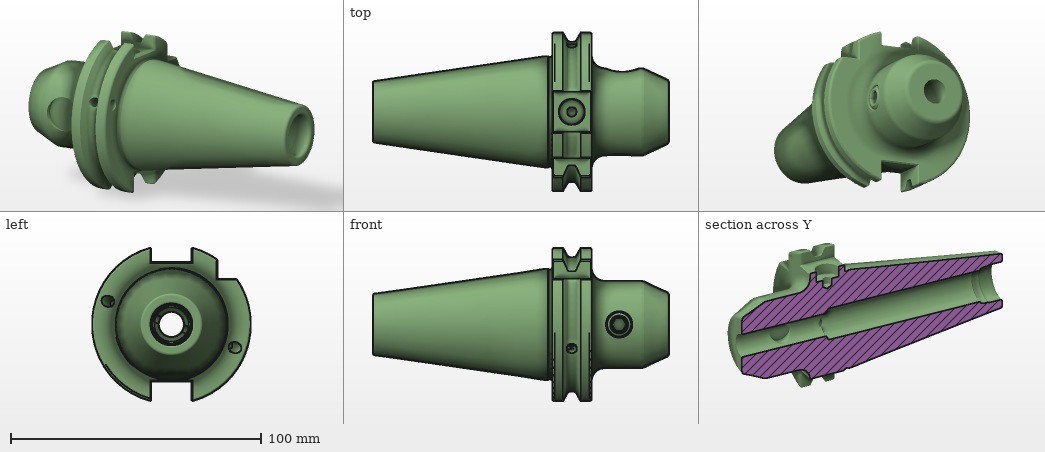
import cadquery as cq
import math


GAUGE_RADIUS = 44.45 / 2
TAPER_LENGTH = 68.4
TAPER_SLOPE = 7 / 48
TAPER_END_FILLET = 1.0
TAPER_TOP_X = 0.5

RELIEF_CONE_START_X = 1.55
RELIEF_CONE_END_X = 1.95
RELIEF_RADIUS = 22.0
RELIEF_FILLET = 0.6

FLANGE_FRONT_X = 3.2
FLANGE_BACK_X = 19.1
FLANGE_RADIUS = 63.55 / 2
FLANGE_FILLET = 1.0
FLANGE_EDGE_CHAMFER = 0.5

GROOVE_X = 11.1
GROOVE_MOUTH_HALF_WIDTH = 3.6
GROOVE_FLOOR_RADIUS = 28.1
GROOVE_HALF_ANGLE = 30
GROOVE_FILLET = 1.2

SLOT_WIDTH = 16.0
TOP_SLOT_FLOOR = 25.0
BOTTOM_SLOT_FLOOR = 22.8
NOTCH_Y = 18.5
NOTCH_Z = 18.3

CHIP_RADIUS = 5.0
CHIP_DEPTH = 4.6
CHIP_CHAMFER = 0.25
CHIP_VENT_RADIUS = 1.9
CHIP_VENT_DEPTH = 3.0

NOSE_X = 50.0
HUB_RADIUS = 17.5
HUB_FILLET = 5.0
NOSE_CONE_X = 39.4
NOSE_HALF_ANGLE = 25
NOSE_CONE_FILLET = 2.5
NOSE_END_FILLET = 2.0

BALANCE_X = 31.2
BALANCE_RADIUS = 7.0
BALANCE_DEPTH = 2.5

TOOL_BORE_RADIUS = 5.0
PILOT_RADIUS = 8.4
PILOT_FILLET = 1.0
PILOT_DEPTH = 6.0
PILOT_STEP_LENGTH = 0.6
NECK_RADIUS = 8.1
NECK_LENGTH = 1.4
NECK_CONE_LENGTH = 1.8
THREAD_MOUTH_RADIUS = 7.67
THREAD_MOUTH_LENGTH = 0.5
THREAD_RADIUS = 6.95
THREAD_END_X = 10.5
DRILL_HALF_ANGLE = 59

COOLANT_ANGLE = 20
COOLANT_ENTRY_RADIUS = 27.0
COOLANT_JOINT_RADIUS = 22.0
COOLANT_INLET_RADIUS = 2.2
COOLANT_CROSS_RADIUS = 1.5
COOLANT_MOUTH_RADIUS = 2.0

SCREW_X = 30.0
SCREW_RADIUS = 4.8
SCREW_LENGTH = 12.0
SCREW_TOP = 17.4
SCREW_CHAMFER = 1.2
SCREW_RIM_CHAMFER = 0.5
HEX_FLATS = 5.0
HEX_DEPTH = 5.0
HEX_MOUTH_CHAMFER = 0.3

TAPER_END_X = -TAPER_LENGTH
TAPER_END_RADIUS = GAUGE_RADIUS - TAPER_SLOPE * TAPER_LENGTH
GROOVE_FLOOR_HALF_WIDTH = (
    GROOVE_MOUTH_HALF_WIDTH
    - (FLANGE_RADIUS - GROOVE_FLOOR_RADIUS) * math.tan(math.radians(GROOVE_HALF_ANGLE))
)
NOSE_END_RADIUS = HUB_RADIUS - (NOSE_X - NOSE_CONE_X) * math.tan(math.radians(NOSE_HALF_ANGLE))
CLEARANCE = 5.0
TOLERANCE = 0.01


def taper_radius(x):
    return GAUGE_RADIUS + TAPER_SLOPE * x


def revolve_about_x(outline):
    return outline.revolve(360, (0, 0, 0), (1, 0, 0))


def outer_form():
    """Turned outside of the holder with sharp corners, then every corner rounded."""
    neck_radius = taper_radius(TAPER_TOP_X)
    outline = (
        cq.Workplane("XY")
        .moveTo(TAPER_END_X, 0)
        .lineTo(TAPER_END_X, TAPER_END_RADIUS)
        .lineTo(TAPER_TOP_X, neck_radius)
        .lineTo(RELIEF_CONE_START_X, neck_radius)
        .lineTo(RELIEF_CONE_END_X, RELIEF_RADIUS)
        .lineTo(FLANGE_FRONT_X, RELIEF_RADIUS)
        .lineTo(FLANGE_FRONT_X, FLANGE_RADIUS)
        .lineTo(GROOVE_X - GROOVE_MOUTH_HALF_WIDTH, FLANGE_RADIUS)
        .lineTo(GROOVE_X - GROOVE_FLOOR_HALF_WIDTH, GROOVE_FLOOR_RADIUS)
        .lineTo(GROOVE_X + GROOVE_FLOOR_HALF_WIDTH, GROOVE_FLOOR_RADIUS)
        .lineTo(GROOVE_X + GROOVE_MOUTH_HALF_WIDTH, FLANGE_RADIUS)
        .lineTo(FLANGE_BACK_X, FLANGE_RADIUS)
        .lineTo(FLANGE_BACK_X, HUB_RADIUS)
        .lineTo(NOSE_CONE_X, HUB_RADIUS)
        .lineTo(NOSE_X, NOSE_END_RADIUS)
        .lineTo(NOSE_X, 0)
        .close()
    )
    body = revolve_about_x(outline)
    rounded_corners = [
        (TAPER_END_X, TAPER_END_RADIUS, TAPER_END_FILLET),
        (FLANGE_FRONT_X, RELIEF_RADIUS, RELIEF_FILLET),
        (FLANGE_FRONT_X, FLANGE_RADIUS, FLANGE_FILLET),
        (GROOVE_X - GROOVE_FLOOR_HALF_WIDTH, GROOVE_FLOOR_RADIUS, GROOVE_FILLET),
        (GROOVE_X + GROOVE_FLOOR_HALF_WIDTH, GROOVE_FLOOR_RADIUS, GROOVE_FILLET),
        (FLANGE_BACK_X, FLANGE_RADIUS, FLANGE_FILLET),
        (FLANGE_BACK_X, HUB_RADIUS, HUB_FILLET),
        (NOSE_CONE_X, HUB_RADIUS, NOSE_CONE_FILLET),
        (NOSE_X, NOSE_END_RADIUS, NOSE_END_FILLET),
    ]
    for x, radius, fillet in rounded_corners:
        body = fillet_ring(body, x, radius, fillet)
    return body


def fillet_ring(body, x, radius, fillet):
    """Round the circular edge of a turned body that lies at the given X and radius."""
    rings = [
        edge for edge in body.edges("%CIRCLE").vals()
        if abs(edge.Center().x - x) < TOLERANCE and abs(edge.radius() - radius) < TOLERANCE
    ]
    return body.newObject(rings).fillet(fillet)


def bore():
    """Tool bore, drill point, thread core, neck and pilot, turned as one cutting shape."""
    pilot_end_x = TAPER_END_X + PILOT_DEPTH
    neck_start_x = pilot_end_x + PILOT_STEP_LENGTH
    neck_end_x = neck_start_x + NECK_LENGTH
    thread_mouth_x = neck_end_x + NECK_CONE_LENGTH
    thread_start_x = thread_mouth_x + THREAD_MOUTH_LENGTH
    drill_point_length = (THREAD_RADIUS - TOOL_BORE_RADIUS) / math.tan(math.radians(DRILL_HALF_ANGLE))
    outline = (
        cq.Workplane("XY")
        .moveTo(TAPER_END_X, 0)
        .lineTo(TAPER_END_X, PILOT_RADIUS + PILOT_FILLET)
        .radiusArc((TAPER_END_X + PILOT_FILLET, PILOT_RADIUS), -PILOT_FILLET)
        .lineTo(pilot_end_x, PILOT_RADIUS)
        .lineTo(neck_start_x, NECK_RADIUS)
        .lineTo(neck_end_x, NECK_RADIUS)
        .lineTo(thread_mouth_x, THREAD_MOUTH_RADIUS)
        .lineTo(thread_start_x, THREAD_RADIUS)
        .lineTo(THREAD_END_X, THREAD_RADIUS)
        .lineTo(THREAD_END_X + drill_point_length, TOOL_BORE_RADIUS)
        .lineTo(NOSE_X, TOOL_BORE_RADIUS)
        .lineTo(NOSE_X, 0)
        .close()
    )
    return revolve_about_x(outline)


def flange_cut(y_low, y_high, z_low, z_high):
    """Block across the flange width, used for the drive slots and the notch."""
    return cq.Workplane("XY").box(
        FLANGE_BACK_X - FLANGE_FRONT_X, y_high - y_low, z_high - z_low, centered=False
    ).translate((FLANGE_FRONT_X, y_low, z_low))


def cut_flange_openings(body):
    """Cut both drive slots and the notch, then chamfer their straight edges on both flange faces."""
    outside = FLANGE_RADIUS + CLEARANCE
    half_slot = SLOT_WIDTH / 2
    body = body.cut(flange_cut(-half_slot, half_slot, TOP_SLOT_FLOOR, outside))
    body = body.cut(flange_cut(-half_slot, half_slot, -outside, -BOTTOM_SLOT_FLOOR))
    body = body.cut(flange_cut(-outside, -NOTCH_Y, NOTCH_Z, outside))
    straight_edges = [
        edge for edge in body.edges("%LINE and (not |X)").vals()
        if min(abs(edge.Center().x - x) for x in (FLANGE_FRONT_X, FLANGE_BACK_X)) < TOLERANCE
    ]
    return body.newObject(straight_edges).chamfer(FLANGE_EDGE_CHAMFER)


def chip_pocket():
    """Round pocket in the top slot floor, with a rim chamfer and a small blind drilled hole."""
    floor = cq.Workplane("XY", origin=(GROOVE_X, 0, TOP_SLOT_FLOOR))
    pocket = floor.circle(CHIP_RADIUS).extrude(-CHIP_DEPTH)
    rim = (
        floor.circle(CHIP_RADIUS + CHIP_CHAMFER)
        .workplane(offset=-CHIP_CHAMFER).circle(CHIP_RADIUS).loft()
    )
    vent_shoulder = CHIP_DEPTH + CHIP_VENT_DEPTH
    vent = floor.circle(CHIP_VENT_RADIUS).extrude(-vent_shoulder)
    vent_point = cq.Solid.makeCone(
        CHIP_VENT_RADIUS, 0, CHIP_VENT_RADIUS / math.tan(math.radians(DRILL_HALF_ANGLE)),
        cq.Vector(GROOVE_X, 0, TOP_SLOT_FLOOR - vent_shoulder), cq.Vector(0, 0, -1)
    )
    return pocket.union(rim).union(vent).union(cq.Workplane(obj=vent_point))


def rod(start, end, radius):
    """Cylinder between two points."""
    axis = cq.Vector(*end) - cq.Vector(*start)
    return cq.Workplane(obj=cq.Solid.makeCylinder(radius, axis.Length, cq.Vector(*start), axis))


def coolant_passage():
    """Sloping inlet from the flange face, meeting a stepped cross hole from the groove to the bore.

    Built in the XY plane on the +Y side.
    """
    slope = (COOLANT_ENTRY_RADIUS - COOLANT_JOINT_RADIUS) / (GROOVE_X - FLANGE_FRONT_X)
    start = (FLANGE_FRONT_X - CLEARANCE, COOLANT_ENTRY_RADIUS + slope * CLEARANCE, 0)
    joint = (GROOVE_X, COOLANT_JOINT_RADIUS, 0)
    inlet = rod(start, joint, COOLANT_INLET_RADIUS)
    cross_hole = rod((GROOVE_X, 0, 0), (GROOVE_X, FLANGE_RADIUS, 0), COOLANT_CROSS_RADIUS)
    mouth_end = (GROOVE_X, COOLANT_JOINT_RADIUS - COOLANT_MOUTH_RADIUS, 0)
    mouth = rod(mouth_end, (GROOVE_X, FLANGE_RADIUS, 0), COOLANT_MOUTH_RADIUS)
    return inlet.union(cross_hole).union(mouth)


def balancing_hole():
    """Shallow flat-bottomed hole drilled along Y into the hub, opposite the clamping screw."""
    floor = (BALANCE_X, HUB_RADIUS - BALANCE_DEPTH, 0)
    return rod(floor, (BALANCE_X, HUB_RADIUS + CLEARANCE, 0), BALANCE_RADIUS)


def cut_screw_hole(body):
    """Radial hole on the -Y side, from the bore to the hub surface, with a chamfered rim."""
    body = body.cut(rod((SCREW_X, 0, 0), (SCREW_X, -HUB_RADIUS - CLEARANCE, 0), SCREW_RADIUS))
    reach = SCREW_RADIUS + TOLERANCE
    around_rim = cq.selectors.BoxSelector(
        (SCREW_X - reach, -HUB_RADIUS - TOLERANCE, -reach),
        (SCREW_X + reach, -HUB_RADIUS / 2, reach),
        boundingbox=True
    )
    return body.edges(around_rim).edges("not %LINE").chamfer(SCREW_RIM_CHAMFER)


def make_holder():
    body = cut_flange_openings(outer_form())
    body = body.cut(bore()).cut(chip_pocket()).cut(balancing_hole())
    body = cut_screw_hole(body)
    for side_angle in (0, 180):
        passage = coolant_passage().rotate((0, 0, 0), (1, 0, 0), side_angle + COOLANT_ANGLE)
        body = body.cut(passage)
    return body


def make_clamp_screw():
    """Headless screw with a chamfered outer end and a hexagon socket, flush with the hub."""
    socket_face = cq.Workplane("XZ", origin=(SCREW_X, -SCREW_TOP, 0))
    hex_circle_diameter = HEX_FLATS / math.cos(math.radians(30))
    mouth_radius = hex_circle_diameter / 2 + HEX_MOUTH_CHAMFER / 2
    screw = socket_face.circle(SCREW_RADIUS).extrude(-SCREW_LENGTH)
    screw = screw.faces("<Y").edges().chamfer(SCREW_CHAMFER)
    socket = socket_face.polygon(6, hex_circle_diameter).extrude(-HEX_DEPTH)
    mouth = cq.Solid.makeCone(
        mouth_radius, mouth_radius - HEX_MOUTH_CHAMFER, HEX_MOUTH_CHAMFER,
        cq.Vector(SCREW_X, -SCREW_TOP, 0), cq.Vector(0, 1, 0)
    )
    return screw.cut(socket).cut(cq.Workplane(obj=mouth))


holder = make_holder()
clamp_screw = make_clamp_screw()

result = cq.Compound.makeCompound([holder.solids().val(), clamp_screw.solids().val()])